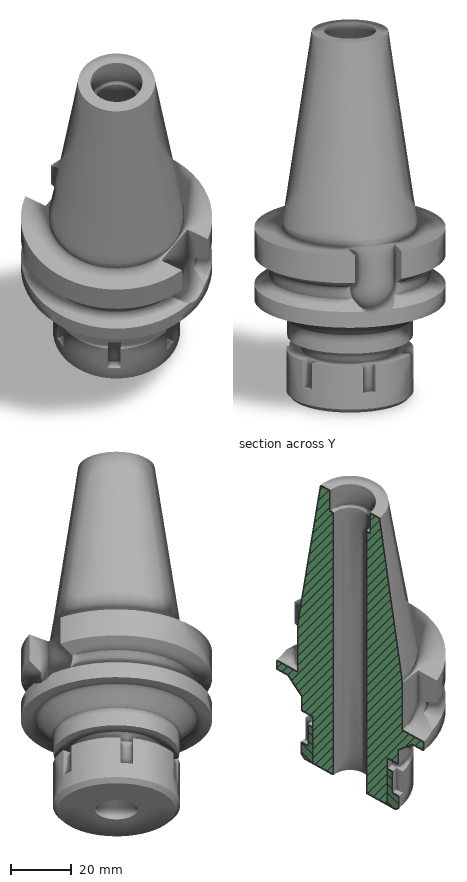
import cadquery as cq

TOTAL_HEIGHT = 125.4

TAPER_TOP_RADIUS = 12.7
GAUGE_RADIUS = 22.2
GAUGE_Z = 60.0

FLANGE_RADIUS = 31.5
FLANGE_TOP_Z = 57.9
FLANGE_BOTTOM_Z = 33.0
GROOVE_RADIUS = 26.6
GROOVE_CENTER_Z = 43.4
GROOVE_FLOOR_WIDTH = 4.1
GROOVE_SIDE_HEIGHT = 2.9

DRIVE_SLOT_WIDTH = 16.0
DRIVE_SLOT_FLOOR_X = 22.5
DRIVE_SLOT_BOTTOM_Z = 37.0
DRIVE_SLOT_DIRECTIONS = (-1, 1)

COLLAR_RADIUS = 20.7
COLLAR_BOTTOM_Z = 20.7
COLLAR_CONE_HEIGHT = 5.9

NECK_RADIUS = 16.0

DRAWBAR_BORE_RADIUS = 8.5
DRAWBAR_BORE_DEPTH = 9.0
THROUGH_BORE_RADIUS = 7.0

NUT_RADIUS = 21.0
NUT_HEIGHT = 16.2
NUT_CHAMFER = 1.5
SPANNER_SLOT_COUNT = 6
SPANNER_SLOT_WIDTH = 4.3
SPANNER_SLOT_BOTTOM_Z = 6.8
SPANNER_SLOT_FLOOR_RADIUS = 18.0


def make_holder_blank():
    """Revolve the holder: neck, collar, grooved flange and taper with its stepped bore."""
    groove_floor_bottom = GROOVE_CENTER_Z - GROOVE_FLOOR_WIDTH / 2
    groove_floor_top = GROOVE_CENTER_Z + GROOVE_FLOOR_WIDTH / 2
    bore_step_z = TOTAL_HEIGHT - DRAWBAR_BORE_DEPTH
    profile = [
        (THROUGH_BORE_RADIUS, 0),
        (NECK_RADIUS, 0),
        (NECK_RADIUS, COLLAR_BOTTOM_Z),
        (COLLAR_RADIUS, COLLAR_BOTTOM_Z),
        (COLLAR_RADIUS, FLANGE_BOTTOM_Z - COLLAR_CONE_HEIGHT),
        (COLLAR_RADIUS + COLLAR_CONE_HEIGHT, FLANGE_BOTTOM_Z),
        (FLANGE_RADIUS, FLANGE_BOTTOM_Z),
        (FLANGE_RADIUS, groove_floor_bottom - GROOVE_SIDE_HEIGHT),
        (GROOVE_RADIUS, groove_floor_bottom),
        (GROOVE_RADIUS, groove_floor_top),
        (FLANGE_RADIUS, groove_floor_top + GROOVE_SIDE_HEIGHT),
        (FLANGE_RADIUS, FLANGE_TOP_Z),
        (GAUGE_RADIUS, FLANGE_TOP_Z),
        (GAUGE_RADIUS, GAUGE_Z),
        (TAPER_TOP_RADIUS, TOTAL_HEIGHT),
        (DRAWBAR_BORE_RADIUS, TOTAL_HEIGHT),
        (DRAWBAR_BORE_RADIUS, bore_step_z),
        (THROUGH_BORE_RADIUS, bore_step_z),
    ]
    return cq.Workplane("XZ").polyline(profile).close().revolve(360, (0, 0), (0, 1))


def make_drive_slot(direction):
    """Cutter for one round-bottomed drive slot, open outward and at the flange top."""
    half_width = DRIVE_SLOT_WIDTH / 2
    arc_center_z = DRIVE_SLOT_BOTTOM_Z + half_width
    return (
        cq.Workplane("YZ", origin=(direction * DRIVE_SLOT_FLOOR_X, 0, 0))
        .moveTo(-half_width, FLANGE_TOP_Z)
        .lineTo(-half_width, arc_center_z)
        .threePointArc((0, DRIVE_SLOT_BOTTOM_Z), (half_width, arc_center_z))
        .lineTo(half_width, FLANGE_TOP_Z)
        .close()
        .extrude(direction * FLANGE_RADIUS)
    )


def make_holder():
    holder = make_holder_blank()
    for direction in DRIVE_SLOT_DIRECTIONS:
        holder = holder.cut(make_drive_slot(direction))
    return holder


def make_spanner_slot(angle):
    """Cutter for one flat-floored spanner slot, open outward and at the nut top."""
    return (
        cq.Workplane("XY", origin=(SPANNER_SLOT_FLOOR_RADIUS, 0, SPANNER_SLOT_BOTTOM_Z))
        .box(NUT_RADIUS, SPANNER_SLOT_WIDTH, NUT_HEIGHT, centered=(False, True, False))
        .rotate((0, 0, 0), (0, 0, 1), angle)
    )


def make_nut():
    """Ring around the neck, chamfered at the bottom, with spanner slots from the top."""
    nut = (
        cq.Workplane("XY")
        .circle(NUT_RADIUS)
        .extrude(NUT_HEIGHT)
        .faces("<Z")
        .chamfer(NUT_CHAMFER)
        .cut(cq.Workplane("XY").circle(NECK_RADIUS).extrude(NUT_HEIGHT))
    )
    for index in range(SPANNER_SLOT_COUNT):
        nut = nut.cut(make_spanner_slot(index * 360 / SPANNER_SLOT_COUNT))
    return nut


holder = make_holder()
nut = make_nut()

result = cq.Compound.makeCompound([holder.val(), nut.val()])